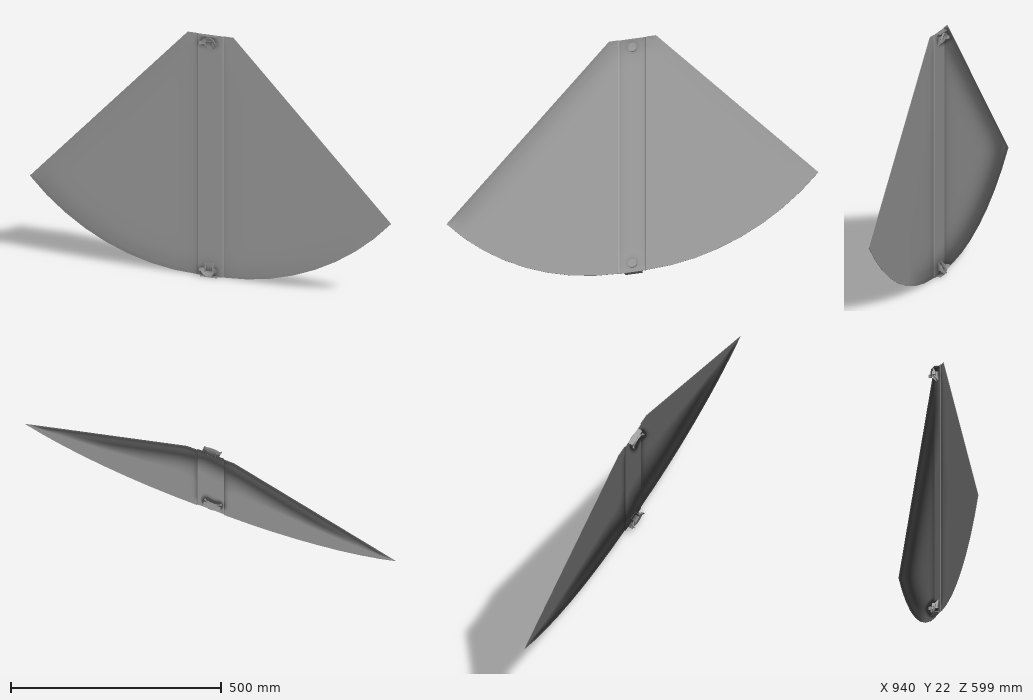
import cadquery as cq
import math


half_width = 470.0
height = 599.0
total_depth = 22.0
sheet = 1.0
strip_half_width = 33.0
bend_width = 2.0
strip_back = 2.0
strip_front = strip_back + sheet
tab_half_width = 22.0
tab_reach = 14.0
tab_thickness = 2.0

axis_inset = 23.0
shaft_radius = 4.0
head_radius = 11.0
head_rise = 1.4
hub_half_width = 10.0
hub_wall = 1.0
hub_reach = 14.0
dish_radius = 20.0
dish_end = 1.0
dish_thickness = 4.0
rim_depth = 17.0
dish_rise = 5.0
lug_outer = tab_half_width
lug_width = 6.0
lug_height = 7.5
lug_back = 15.0
lug_reach = total_depth - head_rise

hub_floor = strip_front + hub_wall
axis_heights = (axis_inset, height - axis_inset)


def block(x_min, x_max, depth_min, depth_max, z_min, z_max):
    """Box between two X positions, two depths toward -Y and two heights."""
    return (
        cq.Workplane("XY")
        .box(x_max - x_min, depth_max - depth_min, z_max - z_min, centered=False)
        .translate((x_min, -depth_max, z_min))
    )


def disc(radius, depth_min, depth_max, z):
    """Cylinder along Y between two depths, on the part's centre plane."""
    return (
        cq.Workplane("XZ", origin=(0, -depth_min, z))
        .circle(radius)
        .extrude(depth_max - depth_min)
    )


def fan():
    """Cover outline: 45 degree sides, and a round lower edge on each side of the strip."""
    arc_radius = height
    corner_drop = math.sqrt(arc_radius**2 - (half_width - strip_half_width) ** 2)
    corner_z = height - corner_drop
    top_half_width = half_width - corner_drop
    arc_mid_angle = math.asin((half_width - strip_half_width) / arc_radius) / 2
    arc_mid_x = strip_half_width + arc_radius * math.sin(arc_mid_angle)
    arc_mid_z = height - arc_radius * math.cos(arc_mid_angle)
    return (
        cq.Workplane("XZ")
        .moveTo(-strip_half_width, 0)
        .lineTo(strip_half_width, 0)
        .threePointArc((arc_mid_x, arc_mid_z), (half_width, corner_z))
        .lineTo(top_half_width, height)
        .lineTo(-top_half_width, height)
        .lineTo(-half_width, corner_z)
        .threePointArc((-arc_mid_x, arc_mid_z), (-strip_half_width, 0))
        .close()
        .extrude(strip_front)
    )


def bent_sheet():
    """Sheet with the strip set back between two sloping bends, over the whole width."""
    bend_outer = strip_half_width + bend_width
    outer_side = [
        (-half_width, 0),
        (-bend_outer, 0),
        (-strip_half_width, -strip_back),
        (strip_half_width, -strip_back),
        (bend_outer, 0),
        (half_width, 0),
    ]
    inner_side = [(x, y - sheet) for x, y in reversed(outer_side)]
    return cq.Workplane("XY").polyline(outer_side + inner_side).close().extrude(height)


def make_cover():
    cover = fan().intersect(bent_sheet())
    for tab_z in (0, height - tab_thickness):
        cover = cover.union(
            block(-tab_half_width, tab_half_width, strip_back, tab_reach, tab_z, tab_z + tab_thickness)
        )
    for axis_z in axis_heights:
        cover = cover.cut(disc(shaft_radius, strip_back, strip_front, axis_z))
    return cover


def make_knob(axis_z):
    """Round head in the recess of the strip, and a shaft through the strip and the lever."""
    head = disc(head_radius, -head_rise, strip_back, axis_z)
    return head.union(disc(shaft_radius, strip_back, hub_floor, axis_z))


def half_dish():
    """Upper half of a shallow conical ring around the hub, opening toward -Y."""
    inner_radius = hub_half_width - hub_wall
    ring = (
        cq.Workplane("XY")
        .moveTo(inner_radius, dish_rise - rim_depth)
        .lineTo(dish_radius, -rim_depth)
        .lineTo(dish_radius, dish_thickness - rim_depth)
        .lineTo(inner_radius, dish_rise + dish_thickness - rim_depth)
        .close()
        .revolve(360, (0, 0, 0), (0, 1, 0))
    )
    return ring.intersect(block(-dish_radius, dish_radius, 0, rim_depth, dish_end, dish_radius))


def hub():
    """Block over the shaft that tapers toward the middle of the cover."""
    return (
        cq.Workplane("YZ", origin=(-hub_half_width, 0, 0))
        .moveTo(-strip_front, hub_half_width)
        .lineTo(-hub_reach, hub_half_width)
        .lineTo(-hub_reach, 0)
        .lineTo(-hub_floor, -hub_half_width)
        .lineTo(-strip_front, -hub_half_width)
        .close()
        .extrude(2 * hub_half_width)
    )


def lug(side):
    """Wedge at one end of the half dish that rises outward beyond the rim."""
    return (
        cq.Workplane("XY", origin=(0, 0, dish_end))
        .moveTo(side * (lug_outer - lug_width), -lug_back)
        .lineTo(side * lug_outer, -lug_reach)
        .lineTo(side * lug_outer, -lug_back)
        .close()
        .extrude(lug_height)
    )


def make_lever(axis_z, upper):
    """Lever whose half dish lies toward the nearer end of the cover."""
    lever = half_dish().union(hub())
    for side in (-1, 1):
        lever = lever.union(lug(side))
    hollow = hub_half_width - hub_wall
    lever = lever.cut(block(-hollow, hollow, hub_floor, hub_reach, -hub_half_width, hollow))
    lever = lever.cut(disc(shaft_radius, strip_front, hub_floor, 0))
    if not upper:
        lever = lever.mirror("XY")
    return lever.translate((0, 0, axis_z))


cover = make_cover()
knobs = [make_knob(axis_z) for axis_z in axis_heights]
levers = [make_lever(axis_z, axis_z > height / 2) for axis_z in axis_heights]

result = cq.Compound.makeCompound(
    [cover.val(), *[knob.val() for knob in knobs], *[lever.val() for lever in levers]]
)